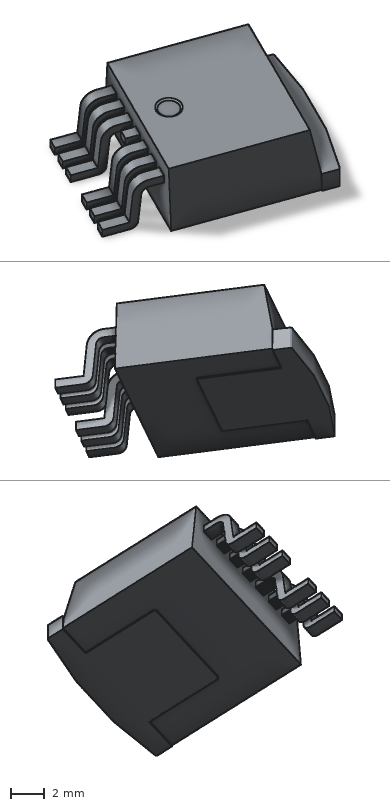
import cadquery as cq
import math


overall_width = 10.67
overall_length = 15.24
overall_height = 4.83

body_standoff = 0.10
body_length = 9.63
side_draft = math.radians(5)
back_draft = math.radians(10)

tab_thickness = 1.40
tab_overhang = 1.67
tab_end_flat = 3.70
tab_end_drop = 0.50
tab_corner_radius = 0.12
pad_width = 6.25
pad_length = 5.20
pad_corner_radius = 0.13

lead_pitch = 1.27
lead_width = 0.762
lead_thickness = 0.57
lead_top = 3.63
lead_straight = 0.95
lead_tilt = math.radians(5.3)
shoulder_inner_radius = 0.50
lead_positions = (-3, -2, -1, 1, 2, 3)

mark_radius = 0.82
mark_floor_radius = 0.69
mark_depth = 0.10
mark_from_front = 1.98

back_end = overall_length / 2
lead_tip = -overall_length / 2
body_back = back_end - tab_overhang
body_front = body_back - body_length


def make_tab():
    """Plate with a tapered free end and a narrower pad that runs under and into the body."""
    half_width = overall_width / 2
    end_plate = (
        cq.Workplane("XY")
        .moveTo(-half_width, body_back)
        .lineTo(half_width, body_back)
        .lineTo(half_width, back_end - tab_end_drop)
        .lineTo(tab_end_flat / 2, back_end)
        .lineTo(-tab_end_flat / 2, back_end)
        .lineTo(-half_width, back_end - tab_end_drop)
        .close()
        .extrude(tab_thickness)
    )
    outer_corners = cq.selectors.BoxSelector(
        (-overall_width, body_back + tab_corner_radius, -tab_thickness),
        (overall_width, back_end - tab_end_drop / 2, 2 * tab_thickness),
    )
    end_plate = end_plate.edges("|Z").edges(outer_corners).fillet(tab_corner_radius)
    pad = (
        cq.Workplane("XY")
        .center(0, body_back - pad_length / 2)
        .rect(pad_width, pad_length)
        .extrude(tab_thickness)
        .edges("|Z and <Y")
        .fillet(pad_corner_radius)
    )
    return end_plate.union(pad)


def make_body(tab):
    """Block with drafted sides and back, a round mark in the top and a pocket for the tab."""
    top_half_width = overall_width / 2 - (overall_height - body_standoff) * math.tan(side_draft)
    top_back = body_back - (overall_height - tab_thickness) * math.tan(back_draft)
    side_profile = (
        cq.Workplane("YZ")
        .moveTo(body_front, body_standoff)
        .lineTo(body_back, body_standoff)
        .lineTo(body_back, tab_thickness)
        .lineTo(top_back, overall_height)
        .lineTo(body_front, overall_height)
        .close()
        .extrude(overall_width / 2, both=True)
    )
    front_profile = (
        cq.Workplane("XZ", origin=(0, body_back, 0))
        .moveTo(-overall_width / 2, body_standoff)
        .lineTo(overall_width / 2, body_standoff)
        .lineTo(top_half_width, overall_height)
        .lineTo(-top_half_width, overall_height)
        .close()
        .extrude(body_length)
    )
    mark_floor = overall_height - mark_depth
    mark = (
        cq.Workplane("XZ")
        .moveTo(0, mark_floor)
        .lineTo(mark_floor_radius, mark_floor)
        .lineTo(mark_radius, overall_height)
        .lineTo(0, overall_height)
        .close()
        .revolve()
        .translate((0, body_front + mark_from_front, 0))
    )
    return side_profile.intersect(front_profile).cut(mark).cut(tab)


def make_lead(x):
    """Gull-wing lead: straight shank, round shoulder, slightly tilted leg and flat foot."""
    outer_radius = shoulder_inner_radius + lead_thickness
    shoulder_y = body_front - lead_straight
    shoulder_z = lead_top - outer_radius

    def shoulder_point(radius, angle):
        return (shoulder_y - radius * math.cos(angle), shoulder_z + radius * math.sin(angle))

    arc_middle = (math.pi / 2 + lead_tilt) / 2
    leg_outer_top = shoulder_point(outer_radius, lead_tilt)
    leg_inner_top = shoulder_point(shoulder_inner_radius, lead_tilt)

    corner_y = leg_outer_top[0] - (leg_outer_top[1] - lead_thickness) * math.tan(lead_tilt)

    def heel_point(angle):
        return (corner_y + lead_thickness * math.cos(angle), lead_thickness * (1 - math.sin(angle)))

    profile = (
        cq.Workplane("YZ")
        .moveTo(body_front, lead_top)
        .lineTo(shoulder_y, lead_top)
        .threePointArc(shoulder_point(outer_radius, arc_middle), leg_outer_top)
        .lineTo(corner_y, lead_thickness)
        .lineTo(lead_tip, lead_thickness)
        .lineTo(lead_tip, 0)
        .lineTo(corner_y, 0)
        .threePointArc(heel_point(arc_middle), heel_point(lead_tilt))
        .lineTo(*leg_inner_top)
        .threePointArc(
            shoulder_point(shoulder_inner_radius, arc_middle),
            (shoulder_y, lead_top - lead_thickness),
        )
        .lineTo(body_front, lead_top - lead_thickness)
        .close()
    )
    return profile.extrude(lead_width / 2, both=True).translate((x, 0, 0))


def make_cut_lead():
    """Middle lead, cut off where the other leads start to bend."""
    return cq.Workplane("XY").box(lead_width, lead_straight, lead_thickness).translate(
        (0, body_front - lead_straight / 2, lead_top - lead_thickness / 2)
    )


tab = make_tab()
body = make_body(tab)
leads = [make_lead(position * lead_pitch) for position in lead_positions]
cut_lead = make_cut_lead()

result = cq.Compound.makeCompound(
    [body.val(), tab.val(), cut_lead.val(), *[lead.val() for lead in leads]]
)